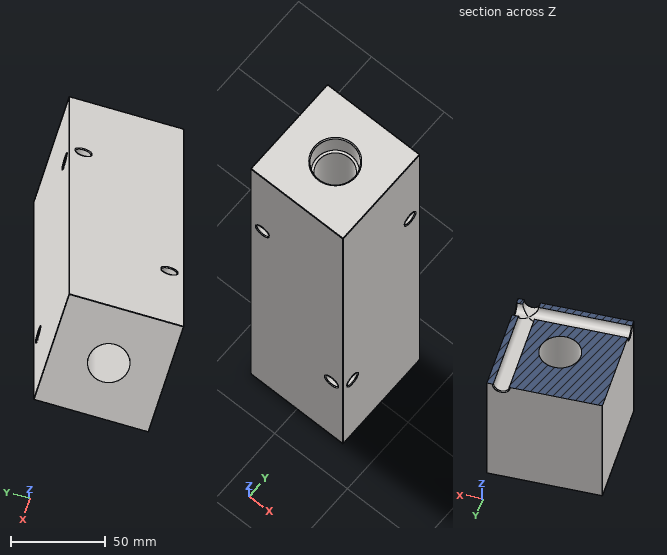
import cadquery as cq

length = 266.7
side = 63.5
edge_chamfer = 0.3

bore_diameter = 22.5
socket_mouth_diameter = 28.0
socket_throat_diameter = 26.7
socket_floor_diameter = 25.5
socket_depth = 14.0

cross_hole_diameter = 8.5
cross_hole_mouth_diameter = 9.5
cross_hole_inset = 8.0
cross_hole_offset = side / 2 - cross_hole_inset
cross_hole_height = side


def bore_cutter():
    """Straight bore through the whole length plus the tapered socket with its 45 degree rim chamfer."""
    half_length = length / 2
    socket_floor = half_length - socket_depth
    rim_chamfer = (socket_mouth_diameter - socket_throat_diameter) / 2
    half_profile = [
        (0, -half_length),
        (bore_diameter / 2, -half_length),
        (bore_diameter / 2, socket_floor),
        (socket_floor_diameter / 2, socket_floor),
        (socket_throat_diameter / 2, half_length - rim_chamfer),
        (socket_mouth_diameter / 2, half_length),
        (0, half_length),
    ]
    return cq.Workplane("XZ").polyline(half_profile).close().revolve(360, (0, 0), (0, 1))


def cross_hole_cutter():
    """Upright through-hole cutter, as long as the block is wide, with a 45 degree chamfer at both ends."""
    half_width = side / 2
    radius = cross_hole_diameter / 2
    mouth_radius = cross_hole_mouth_diameter / 2
    chamfer_start = half_width - (mouth_radius - radius)
    half_profile = [
        (0, -half_width),
        (mouth_radius, -half_width),
        (radius, -chamfer_start),
        (radius, chamfer_start),
        (mouth_radius, half_width),
        (0, half_width),
    ]
    return cq.Workplane("XZ").polyline(half_profile).close().revolve(360, (0, 0), (0, 1))


block = cq.Workplane("XY").box(side, side, length).edges().chamfer(edge_chamfer)
result = block.cut(bore_cutter())

hole_along_x = cross_hole_cutter().rotate((0, 0, 0), (0, 1, 0), 90)
hole_along_y = cross_hole_cutter().rotate((0, 0, 0), (1, 0, 0), 90)

for end in (1, -1):
    height = end * cross_hole_height
    offset = end * cross_hole_offset
    result = result.cut(hole_along_x.translate((0, offset, height)))
    result = result.cut(hole_along_y.translate((-offset, 0, height)))